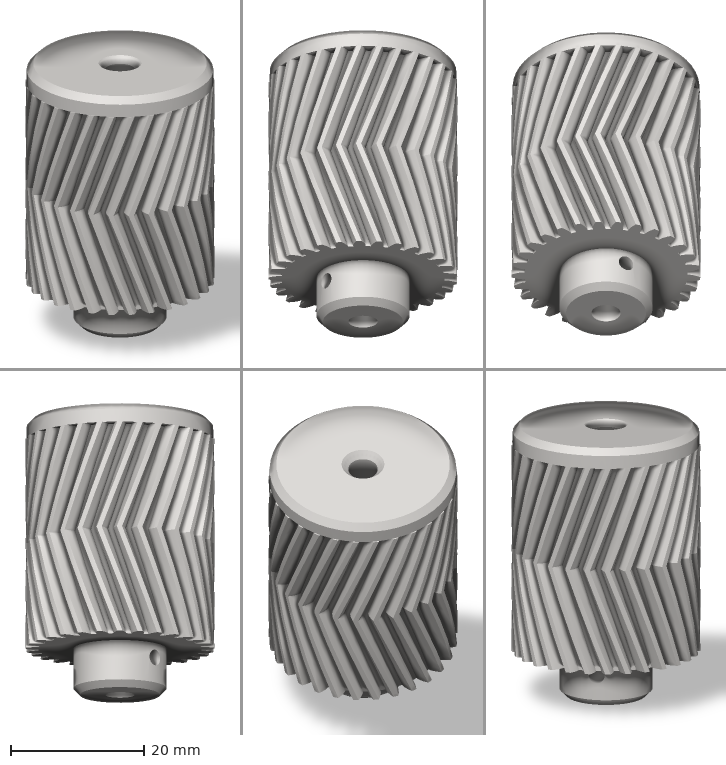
import cadquery as cq
import math

hub_length = 7.0
gear_width = 32.0
half_width = gear_width / 2
collar_length = 3.0
total_height = hub_length + gear_width + collar_length

hub_diameter = 14.0
collar_diameter = 28.0
edge_chamfer = 1.0
bore_diameter = 4.4
bore_chamfer = 1.0
pin_diameter = 2.4
pin_height = 4.8

tooth_count = 29
tip_diameter = 28.33
normal_pressure_angle = math.radians(20)
dedendum_factor = 1.25
tooth_share = 0.532
helix_angle = math.radians(20)
first_tooth_center = 3.28
flank_steps = 4

normal_module = tip_diameter / (tooth_count / math.cos(helix_angle) + 2)
pitch_radius = normal_module * tooth_count / math.cos(helix_angle) / 2
tip_radius = tip_diameter / 2
root_radius = pitch_radius - dedendum_factor * normal_module
pressure_angle = math.atan(math.tan(normal_pressure_angle) / math.cos(helix_angle))
base_radius = pitch_radius * math.cos(pressure_angle)
tooth_pitch = 360 / tooth_count
twist = math.degrees(half_width * math.tan(helix_angle) / pitch_radius)

tip_roll = math.sqrt((tip_radius / base_radius) ** 2 - 1)
pitch_involute = math.tan(pressure_angle) - pressure_angle
base_half_angle = tooth_pitch * tooth_share / 2 + math.degrees(pitch_involute)


def polar(radius, degrees):
    """Point at a radius and an angle in degrees."""
    angle = math.radians(degrees)
    return (radius * math.cos(angle), radius * math.sin(angle))


def involute_flank(origin_angle, side):
    """Points of an involute from the base circle to the tip circle, and its two end directions.

    The side is +1 or -1 for a flank that unwinds anticlockwise or clockwise.
    """
    points = []
    for step in range(flank_steps + 1):
        roll = tip_roll * step / flank_steps
        radius = base_radius * math.hypot(1, roll)
        unwind = math.degrees(roll - math.atan(roll))
        points.append(polar(radius, origin_angle + side * unwind))
    base_direction = polar(1, origin_angle)
    tip_direction = polar(1, origin_angle + side * math.degrees(tip_roll))
    return points, base_direction, tip_direction


def reverse(direction):
    """Opposite of a plane direction."""
    return (-direction[0], -direction[1])


def gear_profile():
    """Closed transverse outline of the gear: radial roots, involute flanks and tip arcs."""
    start = polar(root_radius, first_tooth_center - base_half_angle)
    outline = cq.Workplane("XY").moveTo(*start)
    for index in range(tooth_count):
        center = first_tooth_center + index * tooth_pitch
        rise, rise_base, rise_tip = involute_flank(center - base_half_angle, 1)
        fall, fall_base, fall_tip = involute_flank(center + base_half_angle, -1)
        next_root = polar(root_radius, center + tooth_pitch - base_half_angle)
        gap_end = start if index == tooth_count - 1 else next_root

        outline = outline.lineTo(*rise[0])
        outline = outline.spline(rise[1:], tangents=[rise_base, rise_tip], includeCurrent=True)
        outline = outline.threePointArc(polar(tip_radius, center), fall[-1])
        outline = outline.spline(
            fall[-2::-1], tangents=[reverse(fall_tip), reverse(fall_base)], includeCurrent=True
        )
        outline = outline.lineTo(*polar(root_radius, center + base_half_angle))
        outline = outline.threePointArc(polar(root_radius, center + tooth_pitch / 2), gap_end)
    return outline.close()


def herringbone_gear():
    """Two mirrored helical halves sewn into one solid along their shared mid-width outline."""
    upper_half = gear_profile().twistExtrude(half_width, twist)
    lower_half = upper_half.mirror("XY")
    upper_faces = upper_half.faces("not <Z").vals()
    lower_faces = lower_half.faces("not >Z").vals()
    gear_solid = cq.Solid.makeSolid(cq.Shell.makeShell(upper_faces + lower_faces))
    mid_height = hub_length + half_width
    return cq.Workplane(obj=gear_solid).translate((0, 0, mid_height))


def hub():
    """Lower spigot with a chamfered end."""
    return cq.Workplane("XY").circle(hub_diameter / 2).extrude(hub_length).faces("<Z").chamfer(edge_chamfer)


def collar():
    """Plain disc with a chamfered rim above the teeth."""
    disc = cq.Workplane("XY").circle(collar_diameter / 2).extrude(collar_length)
    return disc.faces(">Z").chamfer(edge_chamfer).translate((0, 0, total_height - collar_length))


def bore():
    """Axial through hole with a countersunk top."""
    hole = cq.Workplane("XY").circle(bore_diameter / 2).extrude(total_height)
    countersink = cq.Solid.makeCone(
        bore_diameter / 2,
        bore_diameter / 2 + bore_chamfer,
        bore_chamfer,
        pnt=cq.Vector(0, 0, total_height - bore_chamfer),
    )
    return hole.union(cq.Workplane(obj=countersink))


def pin_hole():
    """Cross hole through the hub along Y."""
    plane = cq.Workplane("XZ", origin=(0, 0, pin_height))
    return plane.circle(pin_diameter / 2).extrude(hub_diameter, both=True)


result = herringbone_gear().union(hub()).union(collar()).cut(bore()).cut(pin_hole())